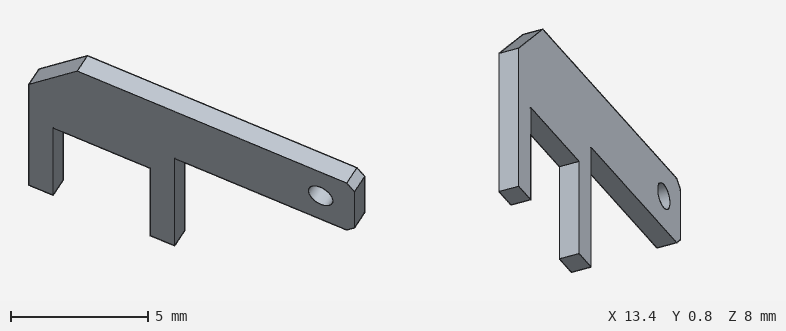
import cadquery as cq

length = 13.4
thickness = 0.8
height = 8.0

leg_width = 1.0
leg_length = 4.0
body_width = 6.0

arm_height = 2.8
arm_bottom = height - arm_height
shoulder_chamfer = 2.0
tip_chamfer = 0.32
hole_diameter = 1.0
hole_to_tip = 1.4


def plate_blank():
    """Flat outline in XZ with two legs and an arm, extruded along Y."""
    outline = [
        (0, 0),
        (leg_width, 0),
        (leg_width, leg_length),
        (body_width - leg_width, leg_length),
        (body_width - leg_width, 0),
        (body_width, 0),
        (body_width, arm_bottom),
        (length - tip_chamfer, arm_bottom),
        (length, arm_bottom + tip_chamfer),
        (length, height - tip_chamfer),
        (length - tip_chamfer, height),
        (shoulder_chamfer, height),
        (0, height - shoulder_chamfer),
    ]
    return cq.Workplane("XZ").polyline(outline).close().extrude(thickness)


def arm_hole():
    """Through hole centred across the arm, near its tip."""
    return (
        cq.Workplane("XZ")
        .center(length - hole_to_tip, arm_bottom + arm_height / 2)
        .circle(hole_diameter / 2)
        .extrude(thickness)
    )


result = plate_blank().cut(arm_hole())